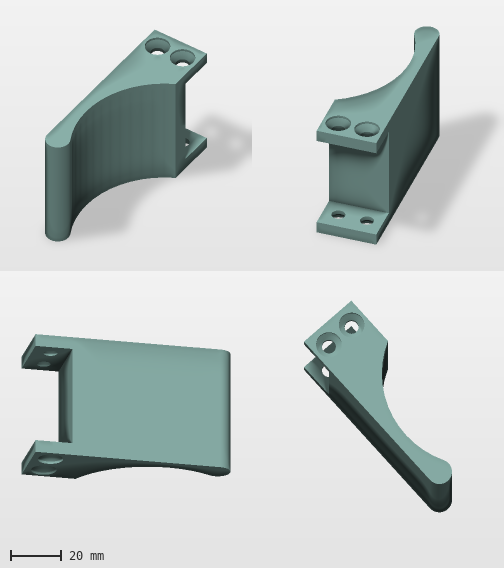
import cadquery as cq
import math

width = 25.0
length = 80.0
height = 50.0

tab_length = 15.0
tab_thickness = 5.0

tip_radius = 5.0
neck_thickness = 5.0
hollow_radius = 37.5

hole_diameter = 5.5
head_diameter = 10.1
head_recess_depth = 1.0
head_cone_angle = 90.0
hole_spacing = 12.0

body_length = length - tab_length

tip_x = tip_radius
tip_y = tip_radius
hollow_x = neck_thickness + hollow_radius
center_distance = hollow_radius + tip_radius
hollow_y = tip_y + math.sqrt(center_distance**2 - (hollow_x - tip_x) ** 2)


def make_body():
    """Full-height body: flat back at X = 0, rounded tip and concave hollow."""
    tangent_x = tip_x + tip_radius * (hollow_x - tip_x) / center_distance
    tangent_y = tip_y + tip_radius * (hollow_y - tip_y) / center_distance
    hollow_end_y = hollow_y + math.sqrt(hollow_radius**2 - (hollow_x - width) ** 2)
    return (
        cq.Workplane("XY")
        .moveTo(0, body_length)
        .lineTo(0, tip_y)
        .threePointArc((tip_x, tip_y - tip_radius), (tangent_x, tangent_y))
        .threePointArc((neck_thickness, hollow_y), (width, hollow_end_y))
        .lineTo(width, body_length)
        .close()
        .extrude(height)
    )


def make_screw_hole(x, y):
    """Cutter for one hole through the top tab: shank, head cone and head recess."""
    shank_radius = hole_diameter / 2
    head_radius = head_diameter / 2
    cone_depth = (head_radius - shank_radius) / math.tan(math.radians(head_cone_angle / 2))
    cone_top = height - head_recess_depth
    return (
        cq.Workplane("XZ", origin=(x, y, 0))
        .moveTo(0, height - tab_thickness)
        .lineTo(shank_radius, height - tab_thickness)
        .lineTo(shank_radius, cone_top - cone_depth)
        .lineTo(head_radius, cone_top)
        .lineTo(head_radius, height)
        .lineTo(0, height)
        .close()
        .revolve(360, (0, 0), (0, 1))
    )


def make_top_tab():
    """Top mounting tab with its row of screw holes."""
    tab = cq.Workplane("XY").box(width, tab_length, tab_thickness, centered=False)
    tab = tab.translate((0, body_length, height - tab_thickness))
    hole_y = body_length + tab_length / 2
    for side in (-1, 1):
        hole_x = width / 2 + side * hole_spacing / 2
        tab = tab.cut(make_screw_hole(hole_x, hole_y))
    return tab


top_tab = make_top_tab()
bottom_tab = top_tab.mirror("XY", (0, 0, height / 2))

result = make_body().union(top_tab, clean=False).union(bottom_tab, clean=False)